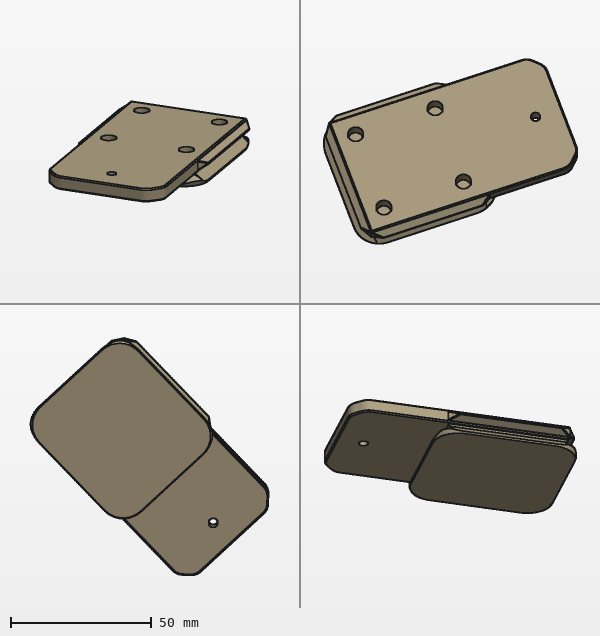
import cadquery as cq
import math

plate_half_width = 22.5
plate_back_y = plate_half_width
plate_front_y = -57.5
plate_thickness = 5.0
plate_chamfer = 0.5
corner_cut = 5.0
corner_radius = 5.0

total_height = 10.0
plate_bottom_z = total_height - plate_thickness
plate_middle_z = total_height - plate_thickness / 2

ridge_reach = 2.5
ridge_base_half = 1.85
ridge_tip_half = 0.29
ridge_end_run = 3.5
ridge_end_chamfer = 0.25

foot_half_x = 24.5
foot_half_y = 26.3
foot_corner_radius = 9.55
foot_edge_height = 0.75
neck_half_x = 21.05
neck_half_y = 21.55
neck_z = 4.1
flank_corner_radius = 5.9
wall_lean_angle = 20.0
wall_lean = math.tan(math.radians(wall_lean_angle))

mount_hole_diameter = 5.5
mount_hole_spacing = 30.0
mount_hole_depth = plate_thickness
cord_hole_diameter = 3.3
cord_hole_inset = 10.0


def make_plate():
    """Long plate with cut and rounded front corners and broken edges."""
    outline = [
        (-plate_half_width, plate_back_y),
        (plate_half_width, plate_back_y),
        (plate_half_width, plate_front_y + corner_cut),
        (plate_half_width - corner_cut, plate_front_y),
        (-plate_half_width + corner_cut, plate_front_y),
        (-plate_half_width, plate_front_y + corner_cut),
    ]
    body = cq.Workplane("XY").workplane(offset=plate_bottom_z).polyline(outline).close()
    body = body.extrude(plate_thickness)
    body = body.edges("|Z").edges("not(>Y)").fillet(corner_radius)
    return body.faces("|Z").edges().chamfer(plate_chamfer)


def make_ridge(angle):
    """Pointed ridge along one side of the plate, turned about Z from the +X side."""
    tip_x = plate_half_width + ridge_reach
    profile = [
        (plate_half_width, plate_middle_z - ridge_base_half),
        (tip_x, plate_middle_z - ridge_tip_half),
        (tip_x, plate_middle_z + ridge_tip_half),
        (plate_half_width, plate_middle_z + ridge_base_half),
    ]
    bar = cq.Workplane("XZ").polyline(profile).close().extrude(plate_half_width, both=True)
    tip_half_length = plate_half_width - ridge_end_run
    plan = [
        (plate_half_width, -plate_half_width),
        (tip_x, -tip_half_length),
        (tip_x, tip_half_length),
        (plate_half_width, plate_half_width),
    ]
    ridge = bar.intersect(cq.Workplane("XY").polyline(plan).close().extrude(total_height))
    ridge = ridge.edges("not(|X or |Y or |Z)").chamfer(ridge_end_chamfer)
    return ridge.rotate((0, 0, 0), (0, 0, 1), angle)


def make_foot():
    """Foot with flanks rising to the neck, trimmed to a rounded rectangle that widens upward."""
    flanks = (
        cq.Workplane("XY").workplane(offset=foot_edge_height)
        .rect(2 * foot_half_x, 2 * foot_half_y)
        .workplane(offset=neck_z - foot_edge_height)
        .rect(2 * neck_half_x, 2 * neck_half_y)
        .loft(ruled=True)
    )
    flanks = flanks.edges("not(|X or |Y or |Z)").fillet(flank_corner_radius)

    neck_rise = plate_bottom_z - neck_z
    side_profile = [
        (-foot_half_x, 0),
        (foot_half_x, 0),
        (foot_half_x, foot_edge_height),
        (neck_half_x, neck_z),
        (neck_half_x + neck_rise * wall_lean, plate_bottom_z),
        (-neck_half_x - neck_rise * wall_lean, plate_bottom_z),
        (-neck_half_x, neck_z),
        (-foot_half_x, foot_edge_height),
    ]
    wall_bottom_y = neck_half_y - neck_z * wall_lean
    wall_top_y = neck_half_y + neck_rise * wall_lean
    end_profile = [
        (-wall_bottom_y, 0),
        (wall_bottom_y, 0),
        (wall_top_y, plate_bottom_z),
        (-wall_top_y, plate_bottom_z),
    ]
    core = cq.Workplane("XZ").polyline(side_profile).close().extrude(foot_half_y, both=True)
    core = core.intersect(
        cq.Workplane("YZ").polyline(end_profile).close().extrude(foot_half_x, both=True)
    )

    base = cq.Workplane("XY").rect(2 * foot_half_x, 2 * foot_half_y).extrude(foot_edge_height)
    edge_step = foot_edge_height * wall_lean
    trim = (
        cq.Workplane("XY")
        .sketch()
        .rect(2 * (foot_half_x - edge_step), 2 * (foot_half_y - edge_step))
        .vertices().fillet(foot_corner_radius - edge_step)
        .finalize()
        .extrude(plate_bottom_z, taper=-wall_lean_angle)
    )
    return base.union(flanks).union(core).intersect(trim)


result = make_foot().union(make_plate())
for side_angle in (0, 90, 180):
    result = result.union(make_ridge(side_angle))

mount_holes = (
    cq.Workplane("XY").workplane(offset=total_height - mount_hole_depth)
    .rect(mount_hole_spacing, mount_hole_spacing, forConstruction=True).vertices()
    .circle(mount_hole_diameter / 2).extrude(mount_hole_depth)
)
cord_hole = (
    cq.Workplane("XY").center(0, plate_front_y + cord_hole_inset)
    .circle(cord_hole_diameter / 2).extrude(total_height)
)
result = result.cut(mount_holes).cut(cord_hole)